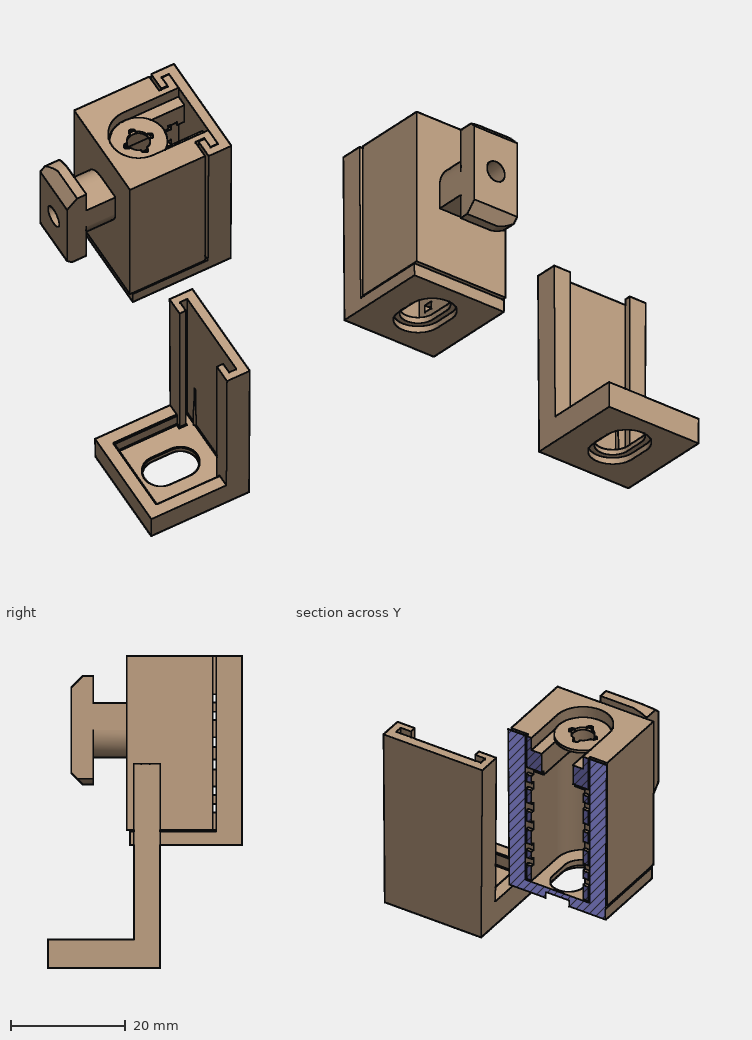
import cadquery as cq
import math


COVER_DEPTH = 19.6
COVER_BASE_WIDTH = 20.0
COVER_TOP_WIDTH = 20.45
FLOOR_THICKNESS = 2.4
COLUMN_HEIGHT = 30.6
WALL_THICKNESS = 1.85
TONGUE_THICKNESS = 1.45
LIP_THICKNESS = 1.25
LIP_FRONT = WALL_THICKNESS + TONGUE_THICKNESS + LIP_THICKNESS
CHANNEL_WIDTH = 17.55
LIP_GAP_WIDTH = 13.3

OPENING_WIDTH = 6.4
OPENING_LENGTH = 10.35
OPENING_CENTRE = 10.05
OPENING_SKIN = 1.15
UNDERSIDE_RECESS_MARGIN = 1.1

LOOSE_COVER_SHIFT_X = 32.0
LOOSE_COVER_SHIFT_Y = -14.3
LOOSE_COVER_TOTAL_DROP = 54.45
POCKET_DEPTH = 2.6
RIM_THICKNESS = 2.5
RIM_BEVEL = 0.2
FLOOR_BEVEL = 0.15
RIB_SPACING = 12.0
RIB_RISE = 7.5
RIB_BASE_WIDTH = 0.7
RIB_BASE_HEIGHT = 0.4
RIB_TOP_WIDTH = 0.45
RIB_TOP_HEIGHT = 0.05

HOUSING_WIDTH = 19.85
HOUSING_FRONT = 20.15
FLOOR_GAP = 0.2
SIDE_CLEARANCE = 0.1
LIP_CLEARANCE = 0.55
HOUSING_BOTTOM = FLOOR_THICKNESS + FLOOR_GAP
HOUSING_TOP = FLOOR_THICKNESS + COLUMN_HEIGHT
TONGUE_FRONT = WALL_THICKNESS + TONGUE_THICKNESS
NECK_FRONT = LIP_FRONT + LIP_CLEARANCE
SEAT_WIDTH = 10.6
SEAT_DEPTH = 2.6
SHELF_THICKNESS = 4.85
BORE_WIDTH = 6.4
BORE_AXIS = 12.85

WINDOW_CENTRE_DROP = 17.0
WINDOWS = ((1.95, 1.7), (6.55, 1.4), (9.6, 1.4))

CAP_RADIUS = 5.05
CAP_THICKNESS = 0.55
CAP_HOLE_RADIUS = 2.04
NOTCH_SPAN = 5.65
NOTCH_WIDTH = 1.2
NOTCH_DEPTH = 0.25
NOTCH_SLOPE_RADIUS = 2.45

NUT_WIDTH = 9.6
NUT_LENGTH = 18.95
NUT_TURN_RADIUS = 9.7
NUT_AXIS_DROP = 12.95
STEM_LENGTH = 5.8
HEAD_THICKNESS = 3.85
HEAD_CHAMFER = 2.0
NUT_HOLE_DIAMETER = 4.0


def block(width, back, front, bottom, top):
    """Box centred on X = 0; `back` and `front` are distances forward of the back plane."""
    return (
        cq.Workplane("XY")
        .box(width, front - back, top - bottom, centered=(True, False, False))
        .translate((0, -front, bottom))
    )


def round_ended_slot(width, back, axis, bottom, top):
    """Cutter that runs forward from `back` and ends in a half round centred on `axis`."""
    half = width / 2
    return (
        cq.Workplane("XY", origin=(0, 0, bottom))
        .moveTo(-half, -back)
        .lineTo(-half, -axis)
        .threePointArc((0, -axis - half), (half, -axis))
        .lineTo(half, -back)
        .close()
        .extrude(top - bottom)
    )


def floor_opening(width, length, bottom, height, taper=0):
    return (
        cq.Workplane("XY", origin=(0, -OPENING_CENTRE, bottom))
        .slot2D(length, width, angle=90)
        .extrude(height, taper=taper)
    )


def cover(foot_height):
    """L-shaped cover with drafted sides; its channel is open down to the top of the foot."""
    top = foot_height + COLUMN_HEIGHT
    foot = block(COVER_TOP_WIDTH, 0, COVER_DEPTH, 0, foot_height)
    column = block(COVER_TOP_WIDTH, 0, LIP_FRONT, foot_height, top)
    drafted_sides = (
        cq.Workplane("XZ")
        .polyline([
            (-COVER_BASE_WIDTH / 2, 0),
            (COVER_BASE_WIDTH / 2, 0),
            (COVER_TOP_WIDTH / 2, top),
            (-COVER_TOP_WIDTH / 2, top),
        ])
        .close()
        .extrude(COVER_DEPTH)
    )
    opening = floor_opening(OPENING_WIDTH, OPENING_LENGTH, 0, foot_height)
    underside_recess = floor_opening(
        OPENING_WIDTH + 2 * UNDERSIDE_RECESS_MARGIN, OPENING_LENGTH + 2 * UNDERSIDE_RECESS_MARGIN,
        0, FLOOR_THICKNESS - OPENING_SKIN,
    )
    body = foot.union(column).intersect(drafted_sides)
    return body.cut(channel(foot_height, top)).cut(opening).cut(underside_recess)


def channel(bottom, top):
    tongue_space = block(CHANNEL_WIDTH, WALL_THICKNESS, TONGUE_FRONT, bottom, top)
    lip_gap = block(LIP_GAP_WIDTH, TONGUE_FRONT, LIP_FRONT, bottom, top)
    return tongue_space.union(lip_gap)


def crush_rib(x, rim_height):
    """Triangular rib on the back wall, straight within the pocket and fading out above it."""
    def section(plane, width, height):
        return plane.polyline([(-width / 2, 0), (width / 2, 0), (0, -height)]).close()

    base_plane = cq.Workplane("XY", origin=(x, -WALL_THICKNESS, FLOOR_THICKNESS))
    straight = section(base_plane, RIB_BASE_WIDTH, RIB_BASE_HEIGHT).extrude(POCKET_DEPTH)
    fade_plane = cq.Workplane("XY", origin=(x, -WALL_THICKNESS, rim_height))
    fade_base = section(fade_plane, RIB_BASE_WIDTH, RIB_BASE_HEIGHT)
    fade = section(fade_base.workplane(offset=RIB_RISE), RIB_TOP_WIDTH, RIB_TOP_HEIGHT).loft(ruled=True)
    return straight.union(fade)


def make_loose_cover():
    rim_height = FLOOR_THICKNESS + POCKET_DEPTH
    pocket_width = COVER_BASE_WIDTH - 2 * RIM_THICKNESS
    pocket_front = COVER_DEPTH - RIM_THICKNESS

    recess = (
        channel(FLOOR_THICKNESS, rim_height)
        .union(block(pocket_width, LIP_FRONT, pocket_front, FLOOR_THICKNESS, rim_height))
        .faces("<Z").edges().chamfer(FLOOR_BEVEL)
    )

    flare_back = LIP_FRONT + RIM_BEVEL
    rim_bevel = (
        cq.Workplane("XY", origin=(0, -(flare_back + pocket_front) / 2, rim_height - RIM_BEVEL))
        .rect(pocket_width, pocket_front - flare_back)
        .extrude(RIM_BEVEL, taper=-45)
    )

    opening_bevel = floor_opening(
        OPENING_WIDTH + 2 * FLOOR_BEVEL, OPENING_LENGTH + 2 * FLOOR_BEVEL,
        FLOOR_THICKNESS, -FLOOR_BEVEL, taper=45,
    )

    body = cover(rim_height).cut(recess).cut(rim_bevel).cut(opening_bevel)
    for side in (-1, 1):
        body = body.union(crush_rib(side * RIB_SPACING / 2, rim_height))
    underside = HOUSING_TOP - LOOSE_COVER_TOTAL_DROP
    return body.translate((LOOSE_COVER_SHIFT_X, LOOSE_COVER_SHIFT_Y, underside))


def make_housing():
    main = block(HOUSING_WIDTH, NECK_FRONT, HOUSING_FRONT, HOUSING_BOTTOM, HOUSING_TOP)
    neck_width = LIP_GAP_WIDTH - 4 * SIDE_CLEARANCE
    neck = block(neck_width, TONGUE_FRONT, NECK_FRONT, HOUSING_BOTTOM, HOUSING_TOP)
    tongue_width = CHANNEL_WIDTH - 2 * SIDE_CLEARANCE
    tongue = block(tongue_width, WALL_THICKNESS, TONGUE_FRONT, HOUSING_BOTTOM, HOUSING_TOP)

    shelf_top = HOUSING_TOP - SEAT_DEPTH
    shelf_bottom = shelf_top - SHELF_THICKNESS
    seat = round_ended_slot(SEAT_WIDTH, WALL_THICKNESS, BORE_AXIS, shelf_top, HOUSING_TOP)
    bore = round_ended_slot(BORE_WIDTH, WALL_THICKNESS, BORE_AXIS, shelf_bottom, shelf_top)
    cavity = round_ended_slot(SEAT_WIDTH, WALL_THICKNESS, BORE_AXIS, HOUSING_BOTTOM, shelf_bottom)
    body = main.union(neck).union(tongue).cut(seat).cut(bore).cut(cavity)

    window_centre = HOUSING_TOP - WINDOW_CENTRE_DROP
    for distance, height in WINDOWS:
        for side in (-1, 1):
            bottom = window_centre + side * distance - height / 2
            body = body.cut(block(neck_width, TONGUE_FRONT, NECK_FRONT, bottom, bottom + height))
    return body


def make_cap():
    """Disc with a hole and four sloping driver notches."""
    disc = cq.Workplane("XY").circle(CAP_RADIUS).extrude(-CAP_THICKNESS)
    hole = cq.Workplane("XY").circle(CAP_HOLE_RADIUS).extrude(-CAP_THICKNESS)
    slope = (
        cq.Workplane("XY", origin=(0, 0, -NOTCH_DEPTH))
        .circle(NOTCH_SLOPE_RADIUS)
        .workplane(offset=NOTCH_DEPTH - CAP_THICKNESS)
        .circle(CAP_HOLE_RADIUS)
        .loft(ruled=True)
    )
    body = disc.cut(hole)
    for angle in (0, 90):
        cross_slot = cq.Workplane("XY").slot2D(NOTCH_SPAN, NOTCH_WIDTH, angle=angle).extrude(-CAP_THICKNESS)
        notches = cross_slot.intersect(cq.Workplane("XY").circle(CAP_RADIUS).extrude(-NOTCH_DEPTH))
        ramps = cross_slot.intersect(slope)
        body = body.cut(notches).cut(ramps)
    return body.translate((0, -BORE_AXIS, HOUSING_TOP - SEAT_DEPTH + CAP_THICKNESS))


def nut_stem(half):
    """Square stem with its upper left and lower right quarters rounded, so it can turn."""
    diagonal = half * math.sqrt(0.5)
    return (
        cq.Workplane("XZ")
        .moveTo(-half, 0)
        .threePointArc((-diagonal, diagonal), (0, half))
        .lineTo(half, half)
        .lineTo(half, 0)
        .threePointArc((diagonal, -diagonal), (0, -half))
        .lineTo(-half, -half)
        .close()
        .extrude(STEM_LENGTH)
    )


def nut_head():
    """Bar with bevelled ends, rounded at two opposite corners by the circle it turns in."""
    bar = (
        cq.Workplane("XZ")
        .rect(NUT_WIDTH, NUT_LENGTH)
        .extrude(HEAD_THICKNESS)
        .faces("<Y").edges("|X").chamfer(HEAD_CHAMFER)
    )
    square_corners = cq.Workplane("XZ")
    for side in (-1, 1):
        square_corners = square_corners.union(
            cq.Workplane("XZ")
            .center(side * NUT_WIDTH / 4, side * NUT_LENGTH / 4)
            .rect(NUT_WIDTH / 2, NUT_LENGTH / 2)
            .extrude(HEAD_THICKNESS)
        )
    turning_circle = cq.Workplane("XZ").circle(NUT_TURN_RADIUS).extrude(HEAD_THICKNESS)
    return bar.intersect(turning_circle.union(square_corners))


def make_t_nut():
    hole = cq.Workplane("XZ").circle(NUT_HOLE_DIAMETER / 2).extrude(STEM_LENGTH + HEAD_THICKNESS)
    body = nut_stem(NUT_WIDTH / 2).union(nut_head().translate((0, -STEM_LENGTH, 0))).cut(hole)
    return body.translate((0, -HOUSING_FRONT, HOUSING_TOP - NUT_AXIS_DROP))


clamp_cover = cover(FLOOR_THICKNESS)
loose_cover = make_loose_cover()
housing = make_housing()
cap = make_cap()
t_nut = make_t_nut()

result = cq.Compound.makeCompound([
    clamp_cover.val(),
    loose_cover.val(),
    housing.val(),
    cap.val(),
    t_nut.val(),
])